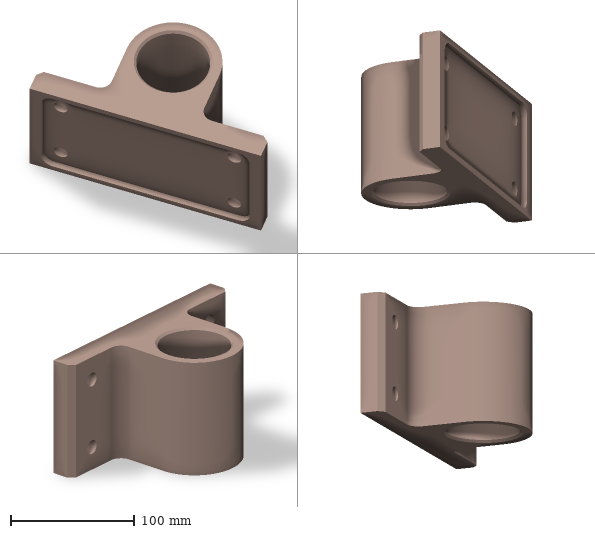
import cadquery as cq

plate_length = 200.0
height = 100.0
plate_thickness = 20.0
plate_chamfer = 5.0

bore_axis_y = 66.0
boss_radius = 40.0
root_fillet = 10.0
bore_diameter = 60.0
bore_chamfer = 2.0

recess_length = 180.0
recess_height = 90.0
recess_corner_radius = 10.0
recess_depth = 5.0

hole_diameter = 12.0
hole_spacing_x = 150.0
hole_spacing_z = 60.0


def make_body():
    """Plate and rounded upright, blended at the root and centred on Z = 0."""
    plate = (
        cq.Workplane("XY")
        .center(0, plate_thickness / 2)
        .rect(plate_length, plate_thickness)
        .extrude(height / 2, both=True)
        .edges("|Z and >Y")
        .chamfer(plate_chamfer)
    )
    upright = (
        cq.Workplane("XY")
        .moveTo(-boss_radius, 0)
        .lineTo(boss_radius, 0)
        .lineTo(boss_radius, bore_axis_y)
        .threePointArc((0, bore_axis_y + boss_radius), (-boss_radius, bore_axis_y))
        .close()
        .extrude(height / 2, both=True)
    )
    body = plate.union(upright)
    root_points = [(side * boss_radius, plate_thickness, 0) for side in (-1, 1)]
    for point in root_points:
        root_edge = cq.selectors.NearestToPointSelector(point)
        body = body.edges(root_edge).fillet(root_fillet)
    return body


def make_bore():
    """Through bore, widened by a chamfer at both ends."""
    bore = (
        cq.Workplane("XY")
        .center(0, bore_axis_y)
        .circle(bore_diameter / 2)
        .extrude(height / 2, both=True)
    )
    for end in (-1, 1):
        mouth = (
            cq.Workplane("XY", origin=(0, bore_axis_y, end * height / 2))
            .circle(bore_diameter / 2 + bore_chamfer)
            .workplane(offset=-end * bore_chamfer)
            .circle(bore_diameter / 2)
            .loft(ruled=True)
        )
        bore = bore.union(mouth)
    return bore


def make_recess():
    """Rounded rectangle sunk into the mounting face."""
    return (
        cq.Workplane("XZ")
        .rect(recess_length, recess_height)
        .extrude(-recess_depth)
        .edges("|Y")
        .fillet(recess_corner_radius)
    )


def make_mounting_holes():
    """Four holes straight through the plate."""
    return (
        cq.Workplane("XZ")
        .rect(hole_spacing_x, hole_spacing_z, forConstruction=True)
        .vertices()
        .circle(hole_diameter / 2)
        .extrude(-plate_thickness)
    )


result = make_body().cut(make_bore()).cut(make_recess()).cut(make_mounting_holes())